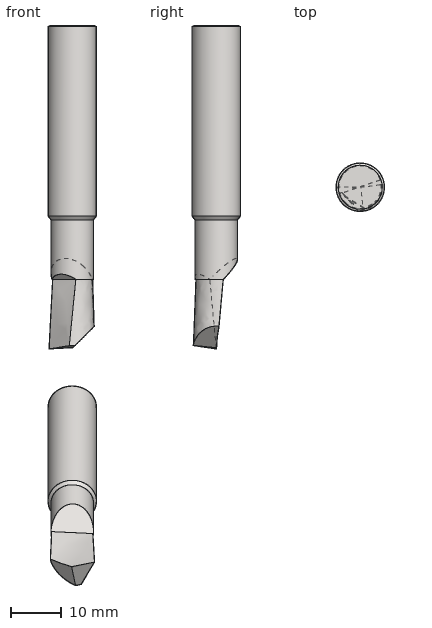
import cadquery as cq
import math

total_length = 63.5
shank_radius = 4.75
neck_radius = 4.2
shank_bottom = 26.1
head_top = 13.65
shoulder_drop = 0.75
end_chamfer_width = 0.45
end_chamfer_height = 0.2

tip_radius = 4.6
head_top_radius = 4.05
head_twist = 18
nose_angle = 198
heel_angle = 280
back_angle = 20
cutter_size = 25.4

relief_slope = 0.1
side_relief_angle = 3
corner_x = 0.2
corner_z = 0.3


def polar(radius, angle):
    """Point at the given angle in degrees on a circle about the tool axis."""
    turn = math.radians(angle)
    return (radius * math.cos(turn), radius * math.sin(turn))


def make_shank_and_neck():
    """Turned body with a chamfered end and a conical shoulder."""
    profile = [
        (0, head_top),
        (neck_radius, head_top),
        (neck_radius, shank_bottom - shoulder_drop),
        (shank_radius, shank_bottom),
        (shank_radius, total_length - end_chamfer_height),
        (shank_radius - end_chamfer_width, total_length),
        (0, total_length),
    ]
    return cq.Workplane("XZ").polyline(profile).close().revolve(360, (0, 0), (0, 1))


def make_runout(start_angle, end_angle):
    """Cutter for a 45 degree slope rising outward from a chord of the neck."""
    half_span = (end_angle - start_angle) / 2
    middle_angle = start_angle + half_span
    chord_distance = neck_radius * math.cos(math.radians(half_span))
    reach = 2 * neck_radius
    triangle = [
        (chord_distance, head_top),
        (chord_distance + reach, head_top),
        (chord_distance + reach, head_top + reach),
    ]
    wedge = cq.Workplane("XZ").polyline(triangle).close().extrude(cutter_size / 2, both=True)
    return wedge.rotate((0, 0, 0), (0, 0, 1), middle_angle)


def head_section(height, radius, twist):
    """Closed wire with a rake chord, an outer arc and a back chord."""
    nose = polar(radius, nose_angle - twist)
    heel = polar(radius, heel_angle - twist)
    back = polar(radius, back_angle - twist)
    arc_middle = polar(radius, (heel_angle + back_angle + 360) / 2 - twist)
    section = cq.Workplane("XY", origin=(0, 0, height)).moveTo(*nose).lineTo(*heel)
    return section.threePointArc(arc_middle, back).close().val()


def make_head():
    """Twisted head between the neck and the tip."""
    sections = [
        head_section(0, tip_radius, head_twist),
        head_section(head_top, head_top_radius, 0),
    ]
    return cq.Workplane(cq.Solid.makeLoft(sections, True))


def make_relief_cutter():
    """Volume under the end face, which rises from the nose towards -Y and +X."""
    outline = [
        (cutter_size, 0),
        (0, 0),
        (-cutter_size, relief_slope * cutter_size),
        (-cutter_size, -cutter_size),
        (cutter_size, -cutter_size),
    ]
    cutter = cq.Workplane("YZ").polyline(outline).close().extrude(cutter_size, both=True)
    return cutter.rotate((-tip_radius, 0, 0), (-tip_radius, 1, 0), -side_relief_angle)


def make_corner_cutter():
    """Volume outside the 45 degree corner on the +X side of the tip."""
    outline = [
        (corner_x - cutter_size, corner_z - cutter_size),
        (corner_x + cutter_size, corner_z - cutter_size),
        (corner_x + cutter_size, corner_z + cutter_size),
    ]
    return cq.Workplane("XZ").polyline(outline).close().extrude(cutter_size, both=True)


body = make_shank_and_neck()
body = body.cut(make_runout(nose_angle, heel_angle))
body = body.cut(make_runout(back_angle, nose_angle))

head = make_head().cut(make_relief_cutter()).cut(make_corner_cutter())

result = body.union(head)